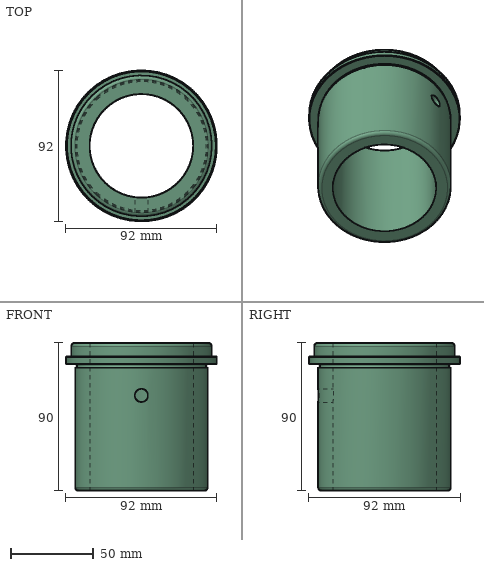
import cadquery as cq

height = 90.0
bore_diameter = 62.9
body_radius = 80.9 / 2
flange_radius = 92.0 / 2
head_radius = 85.7 / 2

head_height = 8.0
flange_thickness = 5.0
flange_top = height - head_height
flange_bottom = flange_top - flange_thickness

end_round = 2.2
flange_upper_chamfer = 0.7
flange_lower_chamfer = 0.4
groove_width = 2.2
groove_depth = 1.1
groove_deepest_below_flange = 0.7
groove_mouth_depth = 0.5

hole_diameter = 8.0
hole_below_top = 32.0


def ring(radius, bottom, top):
    """Solid disc about the Z axis between two heights."""
    return cq.Workplane("XY").workplane(offset=bottom).circle(radius).extrude(top - bottom)


def make_sleeve():
    body = ring(body_radius, 0, flange_bottom).faces("<Z").edges().fillet(end_round)
    flange = ring(flange_radius, flange_bottom, flange_top)
    flange = flange.faces(">Z").edges().chamfer(flange_upper_chamfer)
    flange = flange.faces("<Z").edges().chamfer(flange_lower_chamfer)
    head = ring(head_radius, flange_top, height).faces(">Z").edges().fillet(end_round)
    return body.union(flange).union(head)


def make_groove():
    """Arc-sided relief ring between the body and the underside of the flange."""
    clear_radius = body_radius + 0.9
    groove_bottom = flange_bottom - groove_width
    return (
        cq.Workplane("XZ")
        .moveTo(clear_radius, groove_bottom)
        .lineTo(body_radius, groove_bottom)
        .threePointArc(
            (body_radius - groove_depth, flange_bottom - groove_deepest_below_flange),
            (body_radius - groove_mouth_depth, flange_bottom),
        )
        .lineTo(clear_radius, flange_bottom)
        .close()
        .revolve(360, (0, 0, 0), (0, 1, 0))
    )


bore = ring(bore_diameter / 2, 0, height)

side_hole = (
    cq.Workplane("XZ")
    .center(0, height - hole_below_top)
    .circle(hole_diameter / 2)
    .extrude(flange_radius)
)

result = make_sleeve().cut(make_groove()).cut(bore).cut(side_hole)